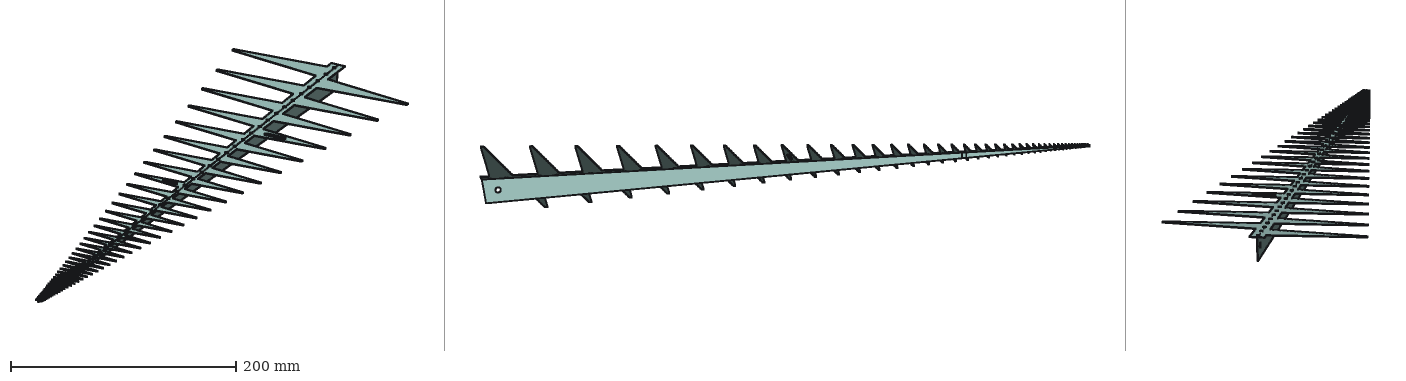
import cadquery as cq
import math

LENGTH = 550.0
TIP_Y = 16.5
BACK_Y = TIP_Y + LENGTH
TOTAL_HEIGHT = 23.0

PLATE_THICKNESS = 0.8
SPINE_SLOPE = math.tan(math.radians(0.7))
TOOTH_SLOPE = math.tan(math.radians(10))
FIRST_TOOTH_Y = 548.0
TOOTH_RATIO = 0.96
ROOT_HALF_WIDTH = 0.019
TIP_HALF_WIDTH = 0.0024

HOLE_DIAMETER = 3.0
HOLE_ROW_LENGTH = 411.0
HOLE_COUNT = 28
HOLE_PITCH = HOLE_ROW_LENGTH / (HOLE_COUNT - 1)
FIRST_HOLE_SETBACK = 7.0

SLOTTED_TEETH = (7, 16, 29)
SLOT_START = 0.027
SLOT_END = 0.078
SLOT_WIDTH = 0.0085

FIN_THICKNESS = 0.8
FIN_DEPTH = TOTAL_HEIGHT - PLATE_THICKNESS
FIN_TIP_DEPTH = 0.65
FIN_BACK_SETBACK = 4.0
FIN_HOLE_DIAMETER = 4.85
FIN_HOLE_SETBACK = 15.0
FIN_HOLE_DEPTH = 10.5
INSERT_BACK_Y = 132.0
INSERT_LENGTH = 4.0
INSERT_FRONT_Y = INSERT_BACK_Y - INSERT_LENGTH


def tooth_y(number):
    return FIRST_TOOTH_Y * TOOTH_RATIO**number


def tooth_side(number):
    """Teeth alternate: even ones point to -X, odd ones to +X."""
    return -1 if number % 2 == 0 else 1


def tooth_points(number):
    """Four corners of one tooth, from the back root to the front root."""
    y = tooth_y(number)
    side = tooth_side(number)
    back_root = y * (1 + ROOT_HALF_WIDTH)
    front_root = y * (1 - ROOT_HALF_WIDTH)
    tip_x = side * y * TOOTH_SLOPE
    return [
        (side * back_root * SPINE_SLOPE, back_root),
        (tip_x, y * (1 + TIP_HALF_WIDTH)),
        (tip_x, y * (1 - TIP_HALF_WIDTH)),
        (side * front_root * SPINE_SLOPE, front_root),
    ]


def plate_outline():
    """Spine edges with every tooth that fits behind the tip."""
    last_tooth_y = TIP_Y / (1 - ROOT_HALF_WIDTH)
    tooth_count = 1 + int(math.log(last_tooth_y / FIRST_TOOTH_Y) / math.log(TOOTH_RATIO))
    right = [(BACK_Y * SPINE_SLOPE, BACK_Y)]
    left = [(-BACK_Y * SPINE_SLOPE, BACK_Y)]
    for number in range(tooth_count):
        side_points = left if tooth_side(number) < 0 else right
        side_points.extend(tooth_points(number))
    right.append((TIP_Y * SPINE_SLOPE, TIP_Y))
    left.append((-TIP_Y * SPINE_SLOPE, TIP_Y))
    return right + left[::-1]


def spine_holes():
    first_y = BACK_Y - FIRST_HOLE_SETBACK
    centres = [(0, first_y - number * HOLE_PITCH) for number in range(HOLE_COUNT)]
    return cq.Workplane("XY").pushPoints(centres).circle(HOLE_DIAMETER / 2).extrude(PLATE_THICKNESS)


def tooth_slot(number):
    y = tooth_y(number)
    centre_x = tooth_side(number) * y * (SLOT_START + SLOT_END) / 2
    return (
        cq.Workplane("XY")
        .center(centre_x, y)
        .slot2D(y * (SLOT_END - SLOT_START), y * SLOT_WIDTH)
        .extrude(PLATE_THICKNESS)
    )


def toothed_plate():
    plate = cq.Workplane("XY").polyline(plate_outline()).close().extrude(PLATE_THICKNESS)
    plate = plate.cut(spine_holes())
    for number in SLOTTED_TEETH:
        plate = plate.cut(tooth_slot(number))
    return plate


def fin_blank():
    """Tapered strip under the whole spine, with a leaning back edge."""
    outline = [
        (BACK_Y, 0),
        (BACK_Y - FIN_BACK_SETBACK, -FIN_DEPTH),
        (TIP_Y, -FIN_TIP_DEPTH),
        (TIP_Y, 0),
    ]
    return cq.Workplane("YZ").polyline(outline).close().extrude(FIN_THICKNESS / 2, both=True)


def fin_part(front_y, back_y):
    """Stretch of the fin between two Y positions."""
    length = back_y - front_y
    keep = cq.Workplane("XY").box(FIN_THICKNESS, length, 2 * FIN_DEPTH).translate((0, front_y + length / 2, 0))
    return fin_blank().intersect(keep)


def fin_hole():
    return (
        cq.Workplane("YZ")
        .center(BACK_Y - FIN_HOLE_SETBACK, -FIN_HOLE_DEPTH)
        .circle(FIN_HOLE_DIAMETER / 2)
        .extrude(FIN_THICKNESS / 2, both=True)
    )


plate = toothed_plate()
rear_fin = fin_part(INSERT_BACK_Y, BACK_Y).cut(fin_hole())
fin_insert = fin_part(INSERT_FRONT_Y, INSERT_BACK_Y)
front_fin = fin_part(TIP_Y, INSERT_FRONT_Y)

result = cq.Compound.makeCompound([plate.val(), rear_fin.val(), fin_insert.val(), front_fin.val()])